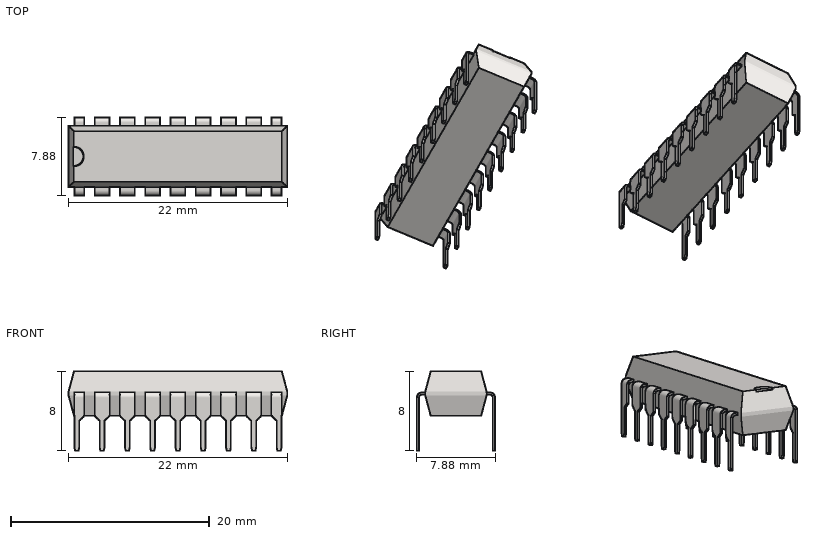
import cadquery as cq
import math


body_length = 22.0
body_width = 6.18
body_height = 4.5
band_height = 0.4
draft_angle = 15.0
band_bottom = (body_height - band_height) / 2
band_top = band_bottom + band_height

notch_radius = 1.0
notch_depth = 0.2

lead_count = 9
lead_row_length = 20.33
lead_span = 7.88
lead_thickness = 0.25
bend_radius = 0.53
shoulder_width = 1.52
pin_width = 0.5
tip_width = 0.35
taper_height = 0.48
tip_height = 0.33
overall_height = 8.0
lead_embed = 0.45

lead_pitch = lead_row_length / (lead_count - 1)
bend_inner_radius = bend_radius - lead_thickness
lead_outer_y = lead_span / 2
lead_top = body_height / 2 + lead_thickness / 2
lead_bottom = body_height - overall_height


def drafted_half(base_z, direction):
    """Half of the body, narrowing away from the band along +Z or -Z."""
    base = cq.Workplane("XY").workplane(offset=base_z).rect(body_length, body_width)
    return base.extrude(direction * band_bottom, taper=draft_angle)


def make_body():
    band = cq.Workplane("XY").box(body_length, body_width, band_height)
    band = band.translate((0, 0, body_height / 2))
    body = band.union(drafted_half(band_top, 1)).union(drafted_half(band_bottom, -1))
    top_edge_x = -body_length / 2 + band_bottom * math.tan(math.radians(draft_angle))
    notch = (
        cq.Workplane("XY")
        .workplane(offset=body_height)
        .center(top_edge_x, 0)
        .circle(notch_radius)
        .extrude(-notch_depth, taper=draft_angle)
    )
    return body.cut(notch)


def bent_strip():
    """Full-width lead strip on the -Y side: level at the body, then bent straight down."""
    root_y = -body_width / 2 + lead_embed
    inner_y = -lead_outer_y + lead_thickness
    bend_y = -lead_outer_y + bend_radius
    bend_z = lead_top - bend_radius
    diagonal = math.sin(math.radians(45))
    return (
        cq.Workplane("YZ")
        .moveTo(root_y, lead_top)
        .lineTo(bend_y, lead_top)
        .threePointArc(
            (bend_y - bend_radius * diagonal, bend_z + bend_radius * diagonal),
            (-lead_outer_y, bend_z),
        )
        .lineTo(-lead_outer_y, lead_bottom)
        .lineTo(inner_y, lead_bottom)
        .lineTo(inner_y, bend_z)
        .threePointArc(
            (bend_y - bend_inner_radius * diagonal, bend_z + bend_inner_radius * diagonal),
            (bend_y, lead_top - lead_thickness),
        )
        .lineTo(root_y, lead_top - lead_thickness)
        .close()
        .extrude(shoulder_width / 2, both=True)
    )


def lead_edge(side, has_shoulder):
    """Points down one side (-1 or +1) of the lead outline."""
    upper_width = shoulder_width if has_shoulder else pin_width
    points = [(side * upper_width / 2, lead_top)]
    if has_shoulder:
        points.append((side * upper_width / 2, 0))
        points.append((side * pin_width / 2, -taper_height))
    points.append((side * pin_width / 2, lead_bottom + tip_height))
    points.append((side * tip_width / 2, lead_bottom))
    return points


def make_lead(left_shoulder, right_shoulder):
    """Bent strip trimmed to a wide shoulder, a narrow pin and a tapered tip."""
    left_edge = lead_edge(-1, left_shoulder)
    right_edge = lead_edge(1, right_shoulder)
    outline = (
        cq.Workplane("XZ")
        .polyline(left_edge + right_edge[::-1])
        .close()
        .extrude(lead_outer_y)
    )
    return bent_strip().intersect(outline)


result = make_body()
for index in range(lead_count):
    is_first = index == 0
    is_last = index == lead_count - 1
    lead_x = (index - (lead_count - 1) / 2) * lead_pitch
    near_lead = make_lead(not is_first, not is_last).translate((lead_x, 0, 0))
    result = result.union(near_lead).union(near_lead.mirror("XZ"))